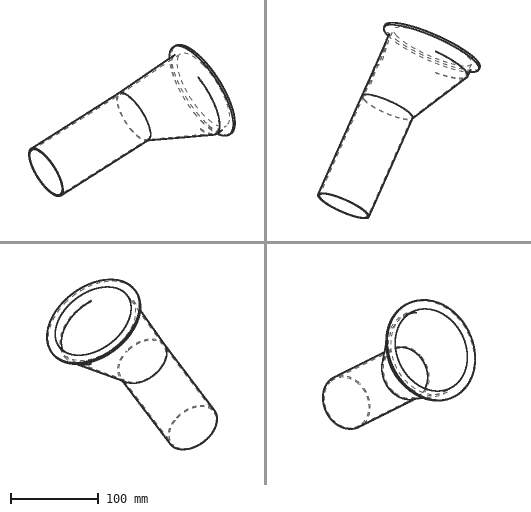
import cadquery as cq
import math

total_length = 212.7
flange_diameter = 119.0
rim_thickness = 2.8
flange_slope = 21.0
neck_fillet = 1.5
neck_diameter = 101.7
neck_end = 15.5
cone_end = 86.0
neck_wall = 2.1
tube_diameter = 63.5
tube_wall = 1.7

flange_radius = flange_diameter / 2
neck_radius = neck_diameter / 2
tube_radius = tube_diameter / 2
neck_bore_radius = neck_radius - neck_wall
tube_bore_radius = tube_radius - tube_wall
tube_offset = tube_radius - neck_radius


def flanged_neck():
    """Solid clamp flange with a sloped back face blending into the cylindrical neck."""
    slope = math.radians(flange_slope)
    corner_depth = rim_thickness + (flange_radius - neck_radius) * math.tan(slope)
    tangent_length = neck_fillet * math.tan((math.pi / 2 - slope) / 2)
    blend_start = (neck_radius + tangent_length * math.cos(slope),
                   -corner_depth + tangent_length * math.sin(slope))
    blend_end = (neck_radius, -corner_depth - tangent_length)
    blend_center = (neck_radius + neck_fillet, blend_end[1])
    middle_angle = (math.pi + math.pi / 2 + slope) / 2
    blend_middle = (blend_center[0] + neck_fillet * math.cos(middle_angle),
                    blend_center[1] + neck_fillet * math.sin(middle_angle))
    return (
        cq.Workplane("XY")
        .lineTo(flange_radius, 0)
        .lineTo(flange_radius, -rim_thickness)
        .lineTo(*blend_start)
        .threePointArc(blend_middle, blend_end)
        .lineTo(neck_radius, -neck_end)
        .lineTo(0, -neck_end)
        .close()
        .revolve(360, (0, 0, 0), (0, 1, 0))
    )


def eccentric_cone(large_radius, small_radius):
    """Solid between the neck circle and the offset tube circle."""
    return (
        cq.Workplane("XZ", origin=(0, -neck_end, 0))
        .circle(large_radius)
        .workplane(offset=cone_end - neck_end)
        .center(tube_offset, 0)
        .circle(small_radius)
        .loft(ruled=True)
    )


def make_reducer():
    """Clamp flange, neck and eccentric cone in one hollow body."""
    outside = flanged_neck().union(eccentric_cone(neck_radius, tube_radius))
    neck_bore = cq.Workplane("XZ").circle(neck_bore_radius).extrude(neck_end)
    cone_bore = eccentric_cone(neck_bore_radius, tube_bore_radius)
    return outside.cut(neck_bore).cut(cone_bore)


def make_tube():
    """Straight tube butted against the small end of the cone."""
    return (
        cq.Workplane("XZ", origin=(tube_offset, -cone_end, 0))
        .circle(tube_radius)
        .circle(tube_bore_radius)
        .extrude(total_length - cone_end)
    )


reducer = make_reducer()
tube = make_tube()

result = cq.Compound.makeCompound([reducer.val(), tube.val()])